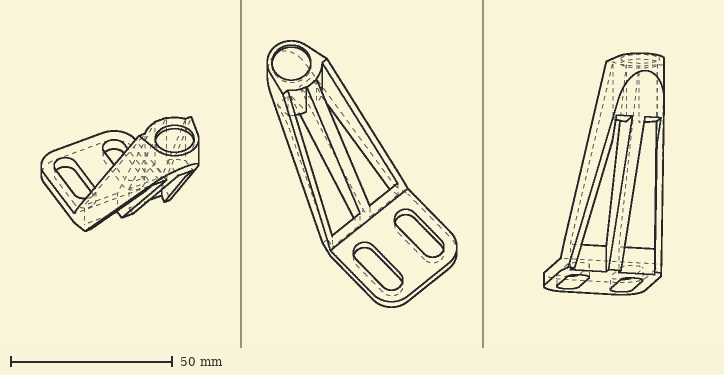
import cadquery as cq
import math

width = 32.0
plate_length = 27.5
plate_thickness = 4.0
corner_radius = 7.5
slot_margin = 4.0
slot_width = 7.0

height = 60.0
foot_length = 5.0
bar_length = 2.0
rib_thickness = 2.0
kink_setback = 0.2
center_rib_width = 4.0

nose_radius = 7.5
nose_height = 5.5
boss_radius = 9.5
boss_x = 63.75
pocket_diameter = 12.0
pocket_depth = 1.5

opening_bottom = 26.5
opening_top = 42.0

half_width = width / 2
tip_x = boss_x + nose_radius
bar_end_x = plate_length + bar_length
front_top_x = boss_x - boss_radius
front_slope = (height - plate_thickness) / (front_top_x - plate_length)
kink_x = bar_end_x + kink_setback
kink_z = plate_thickness + (kink_x - plate_length) * front_slope

boss_offset = boss_x - plate_length
wall_angle = math.atan2(half_width, boss_offset) - math.asin(
    nose_radius / math.hypot(half_width, boss_offset)
)
tangent_x = boss_x + nose_radius * math.sin(wall_angle)
tangent_y = nose_radius * math.cos(wall_angle)

inner_distance = nose_radius - rib_thickness
inner_x = boss_x + inner_distance * math.sin(wall_angle)
inner_y = inner_distance * math.cos(wall_angle)
inner_reach = math.sqrt(boss_radius**2 - inner_distance**2)
rib_top_x = inner_x - inner_reach * math.cos(wall_angle)
opening_outer_y = inner_y + inner_reach * math.sin(wall_angle)


def extrude_profile(points):
    """Closed X-Z outline, extruded over the full width of the part."""
    return cq.Workplane("XZ").polyline(points).close().extrude(half_width, both=True)


def make_box(x_range, y_range, z_range):
    """Axis-aligned box between the given limits."""
    size = [high - low for low, high in (x_range, y_range, z_range)]
    return cq.Workplane("XY").box(*size, centered=False).translate(
        (x_range[0], y_range[0], z_range[0])
    )


def make_plate():
    """Base plate with two rounded corners and two slots along X."""
    plate = make_box((0, plate_length), (-half_width, half_width), (0, plate_thickness))
    plate = plate.edges("|Z and <X").fillet(corner_radius)
    slot_length = plate_length - 2 * slot_margin
    slot_y = half_width - slot_margin - slot_width / 2
    slots = (
        cq.Workplane("XY")
        .pushPoints([(plate_length / 2, slot_y), (plate_length / 2, -slot_y)])
        .slot2D(slot_length, slot_width)
        .extrude(plate_thickness)
    )
    return plate.cut(slots)


def make_tapered_column():
    """Full-height column with the tapering, round-nosed plan of the arm."""
    return (
        cq.Workplane("XY")
        .moveTo(plate_length, -half_width)
        .lineTo(tangent_x, -tangent_y)
        .threePointArc((tip_x, 0), (tangent_x, tangent_y))
        .lineTo(plate_length, half_width)
        .close()
        .extrude(height)
    )


def make_side_ribs(column):
    """Two side walls whose front edges lean back a little above the bar."""
    inner_start_y = inner_y + (inner_x - plate_length) * math.tan(wall_angle)
    core = (
        cq.Workplane("XY")
        .polyline(
            [
                (plate_length, -inner_start_y),
                (inner_x, -inner_y),
                (inner_x, inner_y),
                (plate_length, inner_start_y),
            ]
        )
        .close()
        .extrude(height)
    )
    profile = extrude_profile(
        [
            (plate_length, 0),
            (plate_length, plate_thickness),
            (kink_x, kink_z),
            (rib_top_x, height),
            (boss_x, height),
            (boss_x, 0),
        ]
    )
    return column.cut(core).intersect(profile)


def make_arm():
    """Bar, ribs and boss, trimmed by the sloping front and back planes."""
    column = make_tapered_column()
    half_rib = center_rib_width / 2
    bar = make_box((plate_length, bar_end_x), (-half_width, half_width), (0, height))
    center_rib = make_box((plate_length, boss_x), (-half_rib, half_rib), (0, height))
    boss = cq.Workplane("XY").center(boss_x, 0).circle(boss_radius).extrude(height)
    envelope = extrude_profile(
        [
            (plate_length, 0),
            (plate_length, plate_thickness),
            (front_top_x, height),
            (tip_x, height),
            (tip_x, height - nose_height),
            (plate_length + foot_length, 0),
        ]
    )
    core = bar.union(center_rib).union(boss).intersect(column)
    arm = core.union(make_side_ribs(column)).intersect(envelope)
    for y_range in ((half_rib, opening_outer_y), (-opening_outer_y, -half_rib)):
        opening = make_box((bar_end_x, tip_x), y_range, (opening_bottom, opening_top))
        arm = arm.cut(opening)
    return arm


def make_pocket():
    """Shallow round pocket in the top of the boss."""
    return (
        cq.Workplane("XY", origin=(boss_x, 0, height - pocket_depth))
        .circle(pocket_diameter / 2)
        .extrude(pocket_depth)
    )


result = make_plate().union(make_arm()).cut(make_pocket())